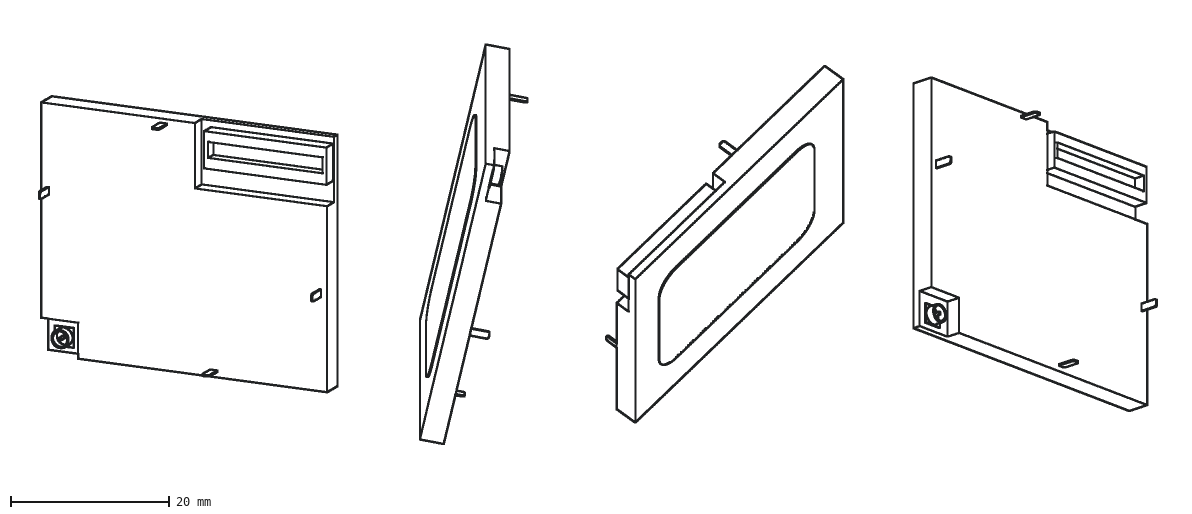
import cadquery as cq

LENGTH = 40.0
HEIGHT = 33.1
TOTAL_DEPTH = 5.74
COVER_DEPTH = 2.0
PIN_LENGTH = 2.5
LABEL_DEPTH = 0.14
BOARD_DEPTH = TOTAL_DEPTH - COVER_DEPTH - PIN_LENGTH - LABEL_DEPTH

SOCKET_NOTCH_LENGTH = 18.5
SOCKET_NOTCH_HEIGHT = 8.6
COAX_NOTCH_LENGTH = 5.15
COAX_NOTCH_HEIGHT = 4.75

SOCKET_LENGTH = 17.1
SOCKET_HEIGHT = 4.9
SOCKET_SIDE_GAP = 0.1
SOCKET_TOP_GAP = 0.9
SLOT_LENGTH = 16.0
SLOT_HEIGHT = 2.1
SLOT_TOP_WALL = 1.35
SLOT_DEPTH = 1.5

COAX_X = 2.3
COAX_Z = 2.05
COAX_BASE_SIDE = 2.6
COAX_BASE_DEPTH = 0.15
COAX_REACH = 1.3
COAX_OUTER_DIAMETER = 2.4
COAX_BORE_DIAMETER = 2.0
COAX_CONTACT_DIAMETER = 0.4

PIN_WIDTH = 1.0
PIN_THICKNESS = 0.2
PIN_TIP_RADIUS = 0.3
SIDE_PIN_EDGE_GAP = 0.95
TOP_PIN_EDGE_GAP = 0.65
BOTTOM_PIN_EDGE_GAP = 0.85
TOP_PIN_X = 17.1
BOTTOM_PIN_X = 24.15
LEFT_PIN_Z = 21.6
RIGHT_PIN_Z = 12.95

LABEL_LENGTH = 29.8
LABEL_HEIGHT = 20.7
LABEL_CENTER_X = 20.6
LABEL_CORNER_RADIUS = 3.3


def block(x, y, z, length, depth, height):
    """Box with its minimum corner at (x, y, z)."""
    return cq.Workplane("XY").box(length, depth, height, centered=False).translate((x, y, z))


def rod(diameter, reach):
    """Cylinder on the coax axis, standing on the board front and pointing to -Y."""
    return cq.Workplane("XZ", origin=(COAX_X, 0, COAX_Z)).circle(diameter / 2).extrude(reach)


def cover():
    """Front cover with cut-outs at two opposite corners."""
    body = block(0, -COVER_DEPTH, 0, LENGTH, COVER_DEPTH, HEIGHT)
    socket_notch = block(
        LENGTH - SOCKET_NOTCH_LENGTH, -COVER_DEPTH, HEIGHT - SOCKET_NOTCH_HEIGHT,
        SOCKET_NOTCH_LENGTH, COVER_DEPTH, SOCKET_NOTCH_HEIGHT,
    )
    coax_notch = block(0, -COVER_DEPTH, 0, COAX_NOTCH_LENGTH, COVER_DEPTH, COAX_NOTCH_HEIGHT)
    return body.cut(socket_notch).cut(coax_notch)


def socket():
    """Rectangular socket, flush with the cover front, with one long blind slot."""
    left = LENGTH - SOCKET_SIDE_GAP - SOCKET_LENGTH
    top = HEIGHT - SOCKET_TOP_GAP
    shell = block(left, -COVER_DEPTH, top - SOCKET_HEIGHT, SOCKET_LENGTH, COVER_DEPTH, SOCKET_HEIGHT)
    slot = block(
        left + (SOCKET_LENGTH - SLOT_LENGTH) / 2, -COVER_DEPTH, top - SLOT_TOP_WALL - SLOT_HEIGHT,
        SLOT_LENGTH, SLOT_DEPTH, SLOT_HEIGHT,
    )
    return shell.cut(slot)


def coax():
    """Square base carrying a tubular shield around a center contact."""
    base = cq.Workplane("XZ", origin=(COAX_X, 0, COAX_Z)).rect(COAX_BASE_SIDE, COAX_BASE_SIDE)
    base = base.extrude(COAX_BASE_DEPTH)
    shield = rod(COAX_OUTER_DIAMETER, COAX_REACH).cut(rod(COAX_BORE_DIAMETER, COAX_REACH))
    return base.union(shield).union(rod(COAX_CONTACT_DIAMETER, COAX_REACH))


def pin(x, z, upright):
    """Flat pin with a round-cornered tip; its width runs along Z if upright, else along X."""
    blade = cq.Workplane("XY").box(PIN_WIDTH, PIN_LENGTH, PIN_THICKNESS)
    blade = blade.edges("|Z and <Y").fillet(PIN_TIP_RADIUS)
    if upright:
        blade = blade.rotate((0, 0, 0), (0, 1, 0), 90)
    return blade.translate((x, -COVER_DEPTH - PIN_LENGTH / 2, z))


def label():
    """Thin raised panel with rounded corners on the board back."""
    panel = cq.Workplane("XY").box(LABEL_LENGTH, LABEL_DEPTH, LABEL_HEIGHT)
    panel = panel.edges("|Y").fillet(LABEL_CORNER_RADIUS)
    return panel.translate((LABEL_CENTER_X, BOARD_DEPTH + LABEL_DEPTH / 2, HEIGHT / 2))


PINS = [
    (TOP_PIN_X, HEIGHT - TOP_PIN_EDGE_GAP, False),
    (BOTTOM_PIN_X, BOTTOM_PIN_EDGE_GAP, False),
    (SIDE_PIN_EDGE_GAP, LEFT_PIN_Z, True),
    (LENGTH - SIDE_PIN_EDGE_GAP, RIGHT_PIN_Z, True),
]

board = block(0, 0, 0, LENGTH, BOARD_DEPTH, HEIGHT)
result = board.union(cover()).union(socket()).union(coax()).union(label())
for x, z, upright in PINS:
    result = result.union(pin(x, z, upright))